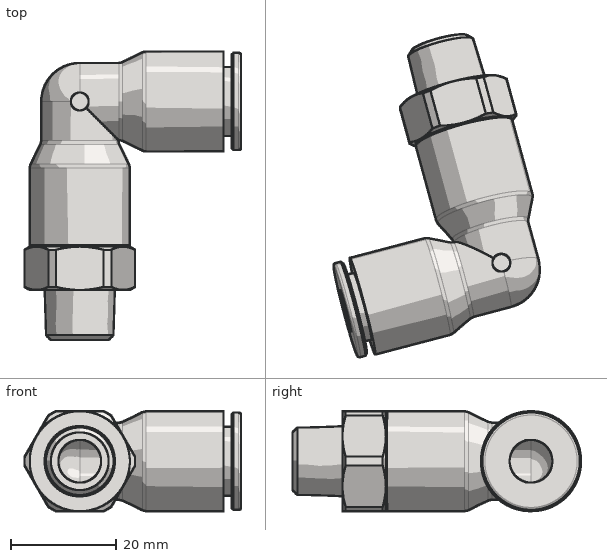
import cadquery as cq
import math


overall_length = 54.8
sleeve_diameter = 19.0
sleeve_radius = sleeve_diameter / 2
neck_radius = 7.35
neck_length = 7.8
shoulder_angle = 26
shoulder_blend = 1.65
sleeve_end = 27.3
bore_radius = 4.05

collar_radius = 6.6
flange_radius = 9.25
flange_start = 28.75
collar_end = 30.65
flange_chamfer = 0.45
flange_round = 0.5

swivel_radius = 8.1
hex_start = 27.55
hex_end = 35.8
hex_across_flats = sleeve_diameter
hex_corner_radius = 10.5
hex_chamfer_angle = 30

thread_end = overall_length - sleeve_radius
thread_root_radius = 6.7
thread_taper = 1 / 16
thread_chamfer = 0.95

mark_radius = 1.7
mark_depth = 0.5


def port_plane():
    """Plane holding leg profiles: local x is the radius, local y the distance along +X."""
    return cq.Plane(origin=(0, 0, 0), xDir=(0, 1, 0), normal=(0, 0, -1))


def thread_plane():
    """Plane holding leg profiles: local x is the radius, local y the distance along -Y."""
    return cq.Plane(origin=(0, 0, 0), xDir=(-1, 0, 0), normal=(0, 0, 1))


def revolve_profile(plane, points):
    """Solid of revolution about a leg axis from (radius, distance) points."""
    return cq.Workplane(plane).polyline(points).close().revolve(360, (0, 0), (0, 1))


def leg_sleeve(plane):
    """Neck, conical shoulder and straight sleeve of one leg."""
    shoulder_length = (sleeve_radius - neck_radius) / math.tan(math.radians(shoulder_angle))
    shoulder_end = neck_length + shoulder_length
    sleeve = revolve_profile(plane, [
        (0, 0),
        (neck_radius, 0),
        (neck_radius, neck_length),
        (sleeve_radius, shoulder_end),
        (sleeve_radius, sleeve_end),
        (0, sleeve_end),
    ])
    axis = plane.yDir
    neck_middle = neck_length / 2
    sleeve_middle = (shoulder_end + sleeve_end) / 2
    blend_edges = [
        edge for edge in sleeve.edges("%CIRCLE").vals()
        if neck_middle < edge.Center().dot(axis) < sleeve_middle
    ]
    return sleeve.newObject(blend_edges).fillet(shoulder_blend)


def release_collar():
    """Grooved collar with a rounded flange at the tube port."""
    flange_face_radius = flange_radius - flange_round
    round_mid = flange_round * math.sqrt(0.5)
    return (
        cq.Workplane(port_plane())
        .moveTo(0, sleeve_end)
        .lineTo(collar_radius, sleeve_end)
        .lineTo(collar_radius, flange_start)
        .lineTo(flange_radius - flange_chamfer, flange_start)
        .lineTo(flange_radius, flange_start + flange_chamfer)
        .lineTo(flange_radius, collar_end - flange_round)
        .threePointArc(
            (flange_face_radius + round_mid, collar_end - flange_round + round_mid),
            (flange_face_radius, collar_end),
        )
        .lineTo(0, collar_end)
        .close()
        .revolve(360, (0, 0), (0, 1))
    )


def hex_nut():
    """Hexagon with turned corners, chamfered at both ends, flats facing +Z and -Z."""
    corner_diameter = hex_across_flats / math.cos(math.pi / 6)
    prism = (
        cq.Workplane("XZ", origin=(0, -hex_start, 0))
        .polygon(6, corner_diameter)
        .extrude(hex_end - hex_start)
    )
    chamfer_run = hex_corner_radius - sleeve_radius
    chamfer_rise = chamfer_run * math.tan(math.radians(hex_chamfer_angle))
    turned_blank = revolve_profile(thread_plane(), [
        (0, hex_start),
        (sleeve_radius, hex_start),
        (hex_corner_radius, hex_start + chamfer_rise),
        (hex_corner_radius, hex_end - chamfer_rise),
        (sleeve_radius, hex_end),
        (0, hex_end),
    ])
    return prism.intersect(turned_blank)


def swivel_neck():
    """Narrow neck in the gap between the sleeve and the nut."""
    return revolve_profile(thread_plane(), [
        (0, sleeve_end),
        (swivel_radius, sleeve_end),
        (swivel_radius, hex_start),
        (0, hex_start),
    ])


def thread_stub():
    """Tapered thread stub with a chamfered tip."""
    chamfer_start = thread_end - thread_chamfer
    tip_radius = thread_root_radius - (chamfer_start - hex_end) * thread_taper / 2
    return revolve_profile(thread_plane(), [
        (0, hex_end),
        (thread_root_radius, hex_end),
        (tip_radius, chamfer_start),
        (tip_radius - thread_chamfer, thread_end),
        (0, thread_end),
    ])


def elbow_bore():
    """Passage through both legs with a spherical corner."""
    corner = cq.Workplane("XY").sphere(bore_radius)
    port_bore = cq.Workplane("YZ").circle(bore_radius).extrude(collar_end)
    thread_bore = cq.Workplane("XZ").circle(bore_radius).extrude(thread_end)
    return corner.union(port_bore).union(thread_bore)


def mark_recess():
    """Shallow flat-bottomed disc cut into the top of the elbow."""
    return (
        cq.Workplane("XY", origin=(0, 0, neck_radius - mark_depth))
        .circle(mark_radius)
        .extrude(2 * mark_depth)
    )


body = cq.Workplane("XY").sphere(neck_radius)
for part in (
    leg_sleeve(port_plane()),
    leg_sleeve(thread_plane()),
    release_collar(),
    swivel_neck(),
    hex_nut(),
    thread_stub(),
):
    body = body.union(part)

result = body.cut(elbow_bore()).cut(mark_recess())